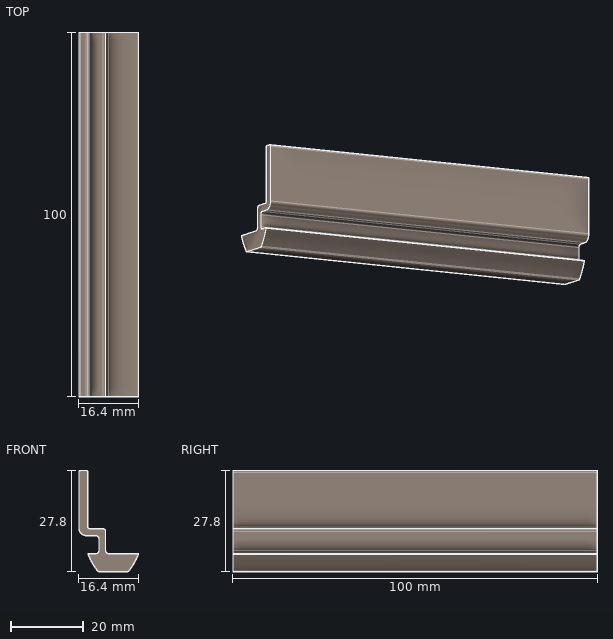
import cadquery as cq

length = 100.0
width = 16.4
height = 27.8

wall_thickness = 2.5
step_top = 11.85
step_thickness = 2.0
neck_right = 7.4
neck_thickness = 1.9

foot_left = wall_thickness
foot_height = 5.0
foot_bottom_width = 8.3
flank_bulge = 0.25

wall_top_radius = 0.5
wall_bottom_radius = 2.15
wall_root_radius = 0.45
neck_radius = 0.8
lip_radius = 0.2
foot_bottom_radius = 0.55

step_bottom = step_top - step_thickness
neck_left = neck_right - neck_thickness
foot_middle = (foot_left + width) / 2
foot_bottom_left = foot_middle - foot_bottom_width / 2
foot_bottom_right = foot_middle + foot_bottom_width / 2
lip_bottom = foot_height - lip_radius


def flank_middle(lip_x, bottom_x, outward):
    """Middle point of a slightly convex foot flank; outward is -1 (left) or +1 (right)."""
    return ((lip_x + bottom_x) / 2 + outward * flank_bulge, lip_bottom / 2)


def make_bar():
    """Extrude the cross-section along Y, centred on Y = 0; only the foot lips are rounded yet."""
    return (
        cq.Workplane("XZ")
        .moveTo(0, height)
        .lineTo(wall_thickness, height)
        .lineTo(wall_thickness, step_top)
        .lineTo(neck_right, step_top)
        .lineTo(neck_right, foot_height)
        .lineTo(width - lip_radius, foot_height)
        .radiusArc((width, lip_bottom), lip_radius)
        .threePointArc(flank_middle(width, foot_bottom_right, 1), (foot_bottom_right, 0))
        .lineTo(foot_bottom_left, 0)
        .threePointArc(flank_middle(foot_left, foot_bottom_left, -1), (foot_left, lip_bottom))
        .radiusArc((foot_left + lip_radius, foot_height), lip_radius)
        .lineTo(neck_left, foot_height)
        .lineTo(neck_left, step_bottom)
        .lineTo(0, step_bottom)
        .close()
        .extrude(length / 2, both=True)
    )


def round_corners(bar, corners, radius):
    """Fillet the lengthwise edge at each of the given (x, z) corners."""
    for x, z in corners:
        edge = cq.selectors.NearestToPointSelector((x, 0, z))
        bar = bar.edges("|Y").edges(edge).fillet(radius)
    return bar


result = make_bar()
result = round_corners(result, [(0, height), (wall_thickness, height)], wall_top_radius)
result = round_corners(result, [(0, step_bottom)], wall_bottom_radius)
result = round_corners(result, [(wall_thickness, step_top)], wall_root_radius)
neck_corners = [
    (neck_right, step_top),
    (neck_left, step_bottom),
    (neck_left, foot_height),
    (neck_right, foot_height),
]
result = round_corners(result, neck_corners, neck_radius)
foot_corners = [(foot_bottom_left, 0), (foot_bottom_right, 0)]
result = round_corners(result, foot_corners, foot_bottom_radius)